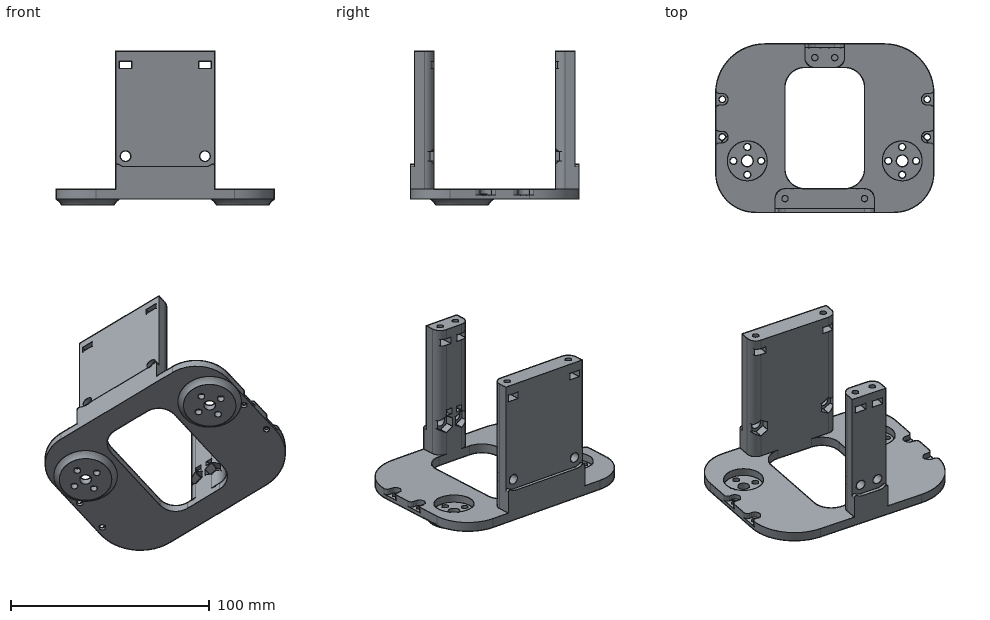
import cadquery as cq
import math

PLATE_X = 110.0
PLATE_Y = 85.0
PLATE_THICK = 5.0
FRONT_CORNER_R = 20.0
BACK_CORNER_R = 25.0
WINDOW_X = 40.0
WINDOW_Y = 61.0
WINDOW_R = 10.0

SEAT_X = 39.0
SEAT_Y = -16.5
SEAT_RECESS_D = 20.1
SEAT_RECESS_DEPTH = 4.0
SEAT_CENTRE_D = 5.8
SEAT_SCREW_D = 3.4
SEAT_SCREW_R = 7.0
SEAT_SCREW_COUNT = 4
BOSS_DROP = 3.0
BOSS_BOTTOM_R = 13.2
BOSS_TOP_R = 16.0
BOSS_FLARE_MID = (14.1, -1.6)

NOTCH_CENTRE_X = 51.6
NOTCH_CENTRE_Y = 5.0
NOTCH_SPACING = 19.0
NOTCH_WIDTH = 5.8
NOTCH_DEPTH = 3.0
NOTCH_MOUTH_R = 2.0
NOTCH_SCREW_D = 3.2

POST_HEIGHT = 69.5
POST_DEPTH = 12.0
POST_CORNER_R = 5.0
FRONT_POST_WIDTH = 50.0
FRONT_SCREW_X = 20.0
BACK_POST_WIDTH = 20.0
BACK_SCREW_X = 5.0
CROSS_HOLE_Z = PLATE_THICK + 16.6
CROSS_HOLE_D = 5.2
HEX_FLATS = 8.1
HEX_DEPTH = 4.7

STEP_DEPTH = 2.0
STEP_ARC_R = 5.3
STEP_CREST_R = 1.1

TOP_SCREW_D = 3.2
TOP_SCREW_INSET = 7.0
NUT_SLOT_WIDTH = 6.2
NUT_SLOT_HEIGHT = 3.6
NUT_SLOT_DROP = 5.1

TIE_OUTER_R = 5.0
TIE_INNER_R = 2.5
TIE_CENTRE_DEPTH = 2.0
TIE_HEIGHT = 3.0
TIE_Z = PLATE_THICK + 21.6

PLATE_TOP = PLATE_THICK
NOTCH_FLOOR = PLATE_TOP - NOTCH_DEPTH
POST_TOP = PLATE_TOP + POST_HEIGHT
EDGE_Y = PLATE_Y / 2
SIDES = (-1, 1)


def cylinder_z(x, y, bottom, top, diameter):
    """Upright cylinder between two heights."""
    return cq.Workplane("XY", origin=(x, y, bottom)).circle(diameter / 2).extrude(top - bottom)


def make_slab(bottom, top):
    """Layer of the plate outline between two heights."""
    slab = cq.Workplane("XY", origin=(0, 0, bottom))
    slab = slab.box(PLATE_X, PLATE_Y, top - bottom, centered=(True, True, False))
    slab = slab.edges("|Z and <Y").fillet(FRONT_CORNER_R)
    return slab.edges("|Z and >Y").fillet(BACK_CORNER_R)


def make_notch(side, y):
    """Round-ended notch open to one side edge of the plate."""
    length = PLATE_X / 2 - NOTCH_CENTRE_X
    notch = cylinder_z(side * NOTCH_CENTRE_X, y, NOTCH_FLOOR, PLATE_TOP, NOTCH_WIDTH)
    mouth = (
        cq.Workplane("XY", origin=(side * (NOTCH_CENTRE_X + length / 2), y, NOTCH_FLOOR))
        .box(length, NOTCH_WIDTH, NOTCH_DEPTH, centered=(True, True, False))
    )
    return notch.union(mouth)


def round_notch_mouths(slab):
    """Round the sharp upright edges where the notches meet the outline."""
    corner_offset = NOTCH_WIDTH / 2
    for side in SIDES:
        for row in SIDES:
            for flank in SIDES:
                y = NOTCH_CENTRE_Y + row * NOTCH_SPACING / 2 + flank * corner_offset
                corner_point = (side * PLATE_X / 2, y, NOTCH_FLOOR + NOTCH_DEPTH / 2)
                corner = cq.selectors.NearestToPointSelector(corner_point)
                slab = slab.edges(corner).fillet(NOTCH_MOUTH_R)
    return slab


def make_plate():
    """Plate with its window and notches; the notches occupy only the upper layer."""
    lower = make_slab(0, NOTCH_FLOOR)
    upper = make_slab(NOTCH_FLOOR, PLATE_TOP)
    screws = []
    for side in SIDES:
        for row in SIDES:
            y = NOTCH_CENTRE_Y + row * NOTCH_SPACING / 2
            upper = upper.cut(make_notch(side, y))
            screws.append(cylinder_z(side * NOTCH_CENTRE_X, y, 0, PLATE_TOP, NOTCH_SCREW_D))
    plate = lower.union(round_notch_mouths(upper))
    for screw in screws:
        plate = plate.cut(screw)
    window = cq.Workplane("XY").rect(WINDOW_X, WINDOW_Y).extrude(PLATE_THICK)
    return plate.cut(window.edges("|Z").fillet(WINDOW_R))


def make_boss(x):
    """Boss below the plate, flaring outward to the underside and reaching up into the plate."""
    profile = (
        cq.Workplane("XZ")
        .moveTo(0, -BOSS_DROP)
        .lineTo(BOSS_BOTTOM_R, -BOSS_DROP)
        .threePointArc(BOSS_FLARE_MID, (BOSS_TOP_R, 0))
        .lineTo(BOSS_TOP_R, PLATE_THICK / 2)
        .lineTo(0, PLATE_THICK / 2)
        .close()
    )
    return profile.revolve(360, (0, 0, 0), (0, 1, 0)).translate((x, SEAT_Y, 0))


def make_seat_cuts(x):
    """Horn recess with its centre hole and ring of screw holes."""
    cuts = cylinder_z(x, SEAT_Y, PLATE_TOP - SEAT_RECESS_DEPTH, PLATE_TOP, SEAT_RECESS_D)
    cuts = cuts.union(cylinder_z(x, SEAT_Y, -BOSS_DROP, PLATE_TOP, SEAT_CENTRE_D))
    for screw in range(SEAT_SCREW_COUNT):
        angle = screw * 2 * math.pi / SEAT_SCREW_COUNT
        screw_x = x + SEAT_SCREW_R * math.cos(angle)
        screw_y = SEAT_Y + SEAT_SCREW_R * math.sin(angle)
        cuts = cuts.union(cylinder_z(screw_x, screw_y, -BOSS_DROP, PLATE_TOP, SEAT_SCREW_D))
    return cuts


def make_step_cut(width, screw_x):
    """Material removed above the step, whose upper edge follows the cross holes near each end."""
    half = width / 2
    low = CROSS_HOLE_Z - STEP_ARC_R
    centre_gap = STEP_ARC_R + STEP_CREST_R
    crest_x = half - STEP_CREST_R
    crest_offset = crest_x - screw_x
    crest_z = CROSS_HOLE_Z - math.sqrt(centre_gap**2 - crest_offset**2)
    lean = math.asin(crest_offset / centre_gap)
    join = (screw_x + STEP_ARC_R * math.sin(lean), CROSS_HOLE_Z - STEP_ARC_R * math.cos(lean))
    arc_mid = (screw_x + STEP_ARC_R * math.sin(lean / 2), CROSS_HOLE_Z - STEP_ARC_R * math.cos(lean / 2))
    crest = (crest_x, crest_z + STEP_CREST_R)
    end = (half, crest_z)
    half_cut = (
        cq.Workplane("XZ", origin=(0, -EDGE_Y + STEP_DEPTH, 0))
        .moveTo(0, low)
        .lineTo(screw_x, low)
        .threePointArc(arc_mid, join)
        .threePointArc(crest, end)
        .lineTo(half, POST_TOP)
        .lineTo(0, POST_TOP)
        .close()
        .extrude(STEP_DEPTH)
    )
    return half_cut.union(half_cut.mirror("YZ"))


def hex_corners(across_flats):
    """Corners of a hexagon that has two upright flats and a corner at the top."""
    corner_radius = across_flats / math.sqrt(3)
    angles = [math.radians(90 + 60 * corner) for corner in range(6)]
    return [(corner_radius * math.cos(a), corner_radius * math.sin(a)) for a in angles]


def make_screw_cuts(x):
    """Cross hole with hex nut pocket, nut slot and vertical screw hole at one screw position."""
    outer_y = -EDGE_Y
    inner_y = outer_y + POST_DEPTH
    cross = (
        cq.Workplane("XZ", origin=(x, inner_y, CROSS_HOLE_Z))
        .circle(CROSS_HOLE_D / 2)
        .extrude(POST_DEPTH)
    )
    hexagon = (
        cq.Workplane("XZ", origin=(x, inner_y, CROSS_HOLE_Z))
        .polyline(hex_corners(HEX_FLATS))
        .close()
        .extrude(HEX_DEPTH)
    )
    slot_bottom = POST_TOP - NUT_SLOT_DROP - NUT_SLOT_HEIGHT
    slot = (
        cq.Workplane("XY", origin=(x, outer_y, slot_bottom))
        .box(NUT_SLOT_WIDTH, POST_DEPTH, NUT_SLOT_HEIGHT, centered=(True, False, False))
    )
    screw = cylinder_z(x, outer_y + TOP_SCREW_INSET, slot_bottom, POST_TOP, TOP_SCREW_D)
    return cross.union(hexagon).union(slot).union(screw)


def make_post(width, screw_x):
    """Post at the front edge: rounded inner corners, stepped outer face, two screw positions."""
    post = (
        cq.Workplane("XY", origin=(0, -EDGE_Y, 0))
        .box(width, POST_DEPTH, POST_TOP, centered=(True, False, False))
        .edges("|Z and >Y")
        .fillet(POST_CORNER_R)
    )
    post = post.cut(make_step_cut(width, screw_x))
    for side in SIDES:
        post = post.cut(make_screw_cuts(side * screw_x))
    return post


def make_tie_channel():
    """Horizontal U channel with straight outer flanks, looping behind a round core in the inner face."""
    face_y = EDGE_Y - POST_DEPTH
    centre_y = face_y + TIE_CENTRE_DEPTH
    top = TIE_Z + TIE_HEIGHT
    bend = cylinder_z(0, centre_y, TIE_Z, top, 2 * TIE_OUTER_R)
    flanks = (
        cq.Workplane("XY", origin=(0, face_y, TIE_Z))
        .box(2 * TIE_OUTER_R, TIE_CENTRE_DEPTH, TIE_HEIGHT, centered=(True, False, False))
    )
    return bend.union(flanks).cut(cylinder_z(0, centre_y, TIE_Z, top, 2 * TIE_INNER_R))


front_post = make_post(FRONT_POST_WIDTH, FRONT_SCREW_X)
back_post = make_post(BACK_POST_WIDTH, BACK_SCREW_X).mirror("XZ").cut(make_tie_channel())

result = make_plate()
for side in SIDES:
    result = result.union(make_boss(side * SEAT_X))
result = result.union(front_post).union(back_post)
for side in SIDES:
    result = result.cut(make_seat_cuts(side * SEAT_X))